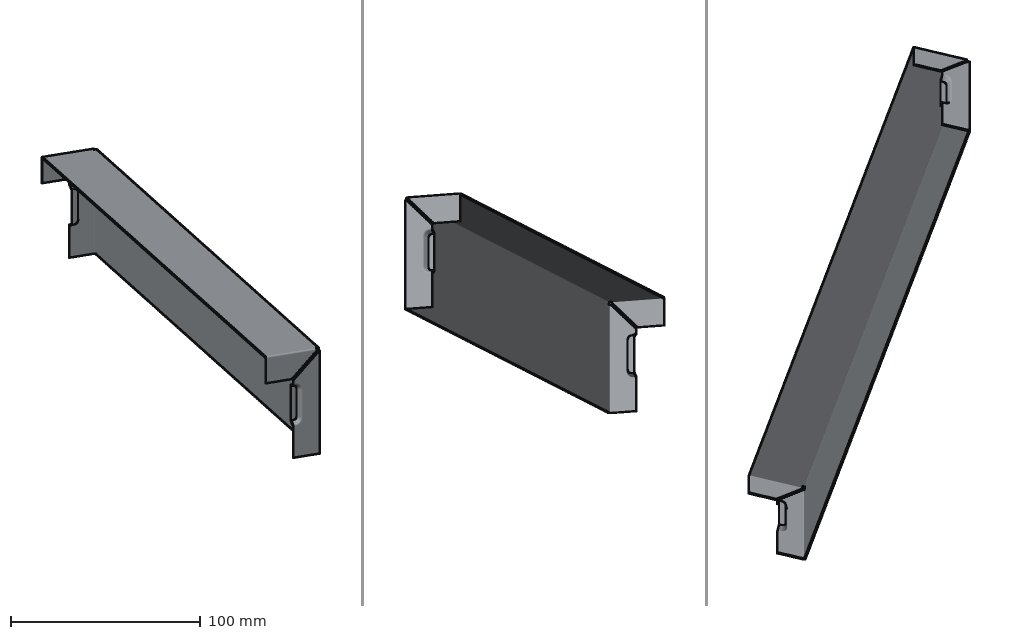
import cadquery as cq
import math

length = 302.0
depth = 31.0
height = 60.0

thickness = 0.75
inner_bend = 0.15
outer_bend = inner_bend + thickness

back_flange_depth = 15.5
top_flange_height = 15.0
miter_gap = 1.0
corner_relief_size = 1.8

recess_offset = 3.0
recess_rim_length = 23.0
recess_rim_depth = 4.8
recess_rim_radius = 3.5
recess_wall_angle = 30
recess_rim_bend = 1.2

half_length = length / 2
back_y = depth / 2
front_y = -depth / 2
flange_edge_y = back_y - back_flange_depth
flange_bottom_z = height - top_flange_height
overrun = 15.0


def box_between(low, high):
    """Box spanning two opposite corner points."""
    size = [b - a for a, b in zip(low, high)]
    return cq.Workplane("XY").box(*size, centered=False).translate(low)


def folded_block(inset, radius):
    """Cover envelope moved inward by inset, with rounded back, top and end bends."""
    block = box_between(
        (-half_length + inset, front_y - overrun, -overrun),
        (half_length - inset, back_y - inset, height - inset),
    )
    return block.edges("(|Z and >Y) or (|Y and >Z) or (|X and >Y and >Z)").fillet(radius)


def make_shell():
    """Back, top and full-size ends, open at the front and bottom."""
    shell = folded_block(0, outer_bend).cut(folded_block(thickness, inner_bend))
    return shell.intersect(box_between((-half_length, front_y, 0), (half_length, back_y, height)))


def front_opening():
    """Space below the top flanges and in front of the back flanges."""
    return box_between(
        (-half_length - overrun, front_y - overrun, -overrun),
        (half_length + overrun, flange_edge_y, flange_bottom_z),
    )


def miter_slot():
    """Diagonal gap between the top and back end flanges."""
    start_y, start_z = back_y - corner_relief_size, height - corner_relief_size
    rise = start_z - flange_bottom_z
    run = start_y - flange_edge_y
    slope = math.hypot(run, rise)
    offset_y = miter_gap / 2 * rise / slope
    offset_z = miter_gap / 2 * run / slope
    end_y = flange_edge_y - miter_gap * run / slope
    end_z = flange_bottom_z - miter_gap * rise / slope
    return (
        cq.Workplane("YZ")
        .polyline([
            (start_y - offset_y, start_z + offset_z),
            (end_y - offset_y, end_z + offset_z),
            (end_y + offset_y, end_z - offset_z),
            (start_y + offset_y, start_z - offset_z),
        ])
        .close()
        .extrude(half_length + overrun, both=True)
    )


def corner_relief():
    """Clearance where the three bends meet at the left end."""
    return box_between(
        (-half_length, back_y - corner_relief_size, height - corner_relief_size),
        (-half_length + corner_relief_size, back_y, height),
    )


def recess_form(surface_x, rim_growth):
    """Tapered plug pressed inward from surface_x, its rim enlarged by rim_growth."""
    rim = (
        cq.Sketch()
        .rect(2 * (recess_rim_depth + rim_growth), recess_rim_length + 2 * rim_growth)
        .vertices()
        .fillet(recess_rim_radius + rim_growth)
    )
    plug = (
        cq.Workplane("YZ", origin=(surface_x, flange_edge_y, height / 2))
        .placeSketch(rim)
        .extrude(recess_offset, taper=recess_wall_angle)
    )
    behind_edge = box_between((-half_length, flange_edge_y, 0), (0, back_y, height))
    return plug.intersect(behind_edge)


def round_rim(body, surface_x, rim_growth, radius):
    """Round the recess rim edges lying in the flange face at surface_x, at both ends."""
    tolerance = 0.03
    reach_y = recess_rim_depth + rim_growth + tolerance
    reach_z = recess_rim_length / 2 + rim_growth + tolerance
    for face_x in (-surface_x, surface_x):
        rim = cq.selectors.BoxSelector(
            (face_x - tolerance, flange_edge_y - tolerance, height / 2 - reach_z),
            (face_x + tolerance, flange_edge_y + reach_y, height / 2 + reach_z),
            boundingbox=True,
        )
        body = body.edges(rim).fillet(radius)
    return body


wall_angle = math.radians(recess_wall_angle)
inner_rim_growth = thickness * (1 - math.sin(wall_angle)) / math.cos(wall_angle)
recess_outside = recess_form(-half_length, 0)
recess_inside = recess_form(-half_length + thickness, inner_rim_growth)
relief = corner_relief()

result = make_shell().cut(front_opening()).cut(miter_slot())
result = result.cut(relief).cut(relief.mirror("YZ"))
result = result.union(recess_inside).union(recess_inside.mirror("YZ"))
result = result.cut(recess_outside).cut(recess_outside.mirror("YZ"))
result = round_rim(result, half_length, 0, recess_rim_bend)
result = round_rim(result, half_length - thickness, inner_rim_growth, recess_rim_bend - thickness)